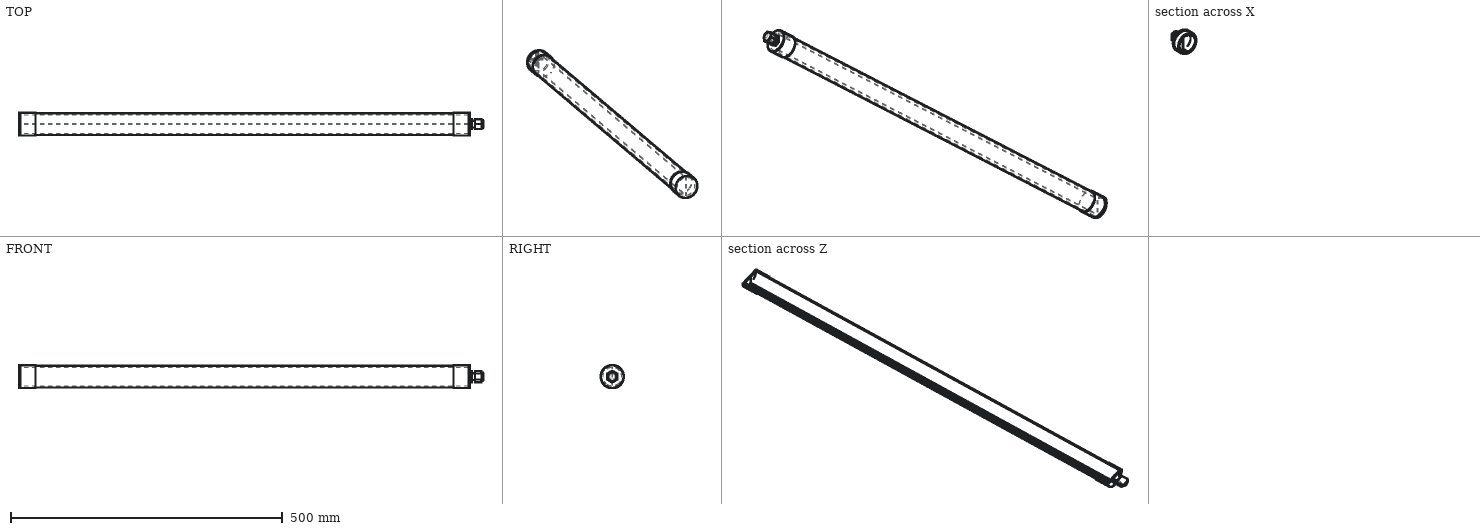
import cadquery as cq

TOTAL_LENGTH = 855.0

CAP_DIAMETER = 43.0
CAP_LENGTH = 30.0
CAP_WALL = 3.0
RIGHT_CAP_END = 830.0
RIGHT_CAP_START = RIGHT_CAP_END - CAP_LENGTH

TUBE_DIAMETER = 40.0
TUBE_BORE = 34.0
TUBE_START = CAP_WALL
TUBE_END = RIGHT_CAP_END - CAP_WALL

STRIP_THICKNESS = 2.0
STRIP_WIDTH = (TUBE_BORE**2 - STRIP_THICKNESS**2) ** 0.5

HEX_ACROSS_CORNERS = 21.0
FLANGE_THICKNESS = 4.0
FLANGE_END = RIGHT_CAP_END + FLANGE_THICKNESS
NECK_DIAMETER = 13.0
NECK_LENGTH = 4.7
NUT_START = FLANGE_END + NECK_LENGTH
NUT_HEX_LENGTH = 12.0
NUT_HEX_END = NUT_START + NUT_HEX_LENGTH
NOSE_DIAMETER = 16.0
NOSE_ROUNDING = 3.0


def section_at(x):
    """Sketch plane across the lamp at x, facing +X, with local axes along Y and Z."""
    return cq.Workplane("YZ", origin=(x, 0, 0))


def rod(diameter, start, end):
    """Round bar along X."""
    return section_at(start).circle(diameter / 2).extrude(end - start)


def hexagon(start, end):
    """Hexagonal bar along X with two of its corner edges straight above and below the axis."""
    bar = section_at(start).polygon(6, HEX_ACROSS_CORNERS).extrude(end - start)
    return bar.rotate((0, 0, 0), (1, 0, 0), 90)


def make_cap(start, pocket_start, pocket_end):
    """Cup for one end of the tube; the pocket leaves the end wall on its closed side."""
    cup = rod(CAP_DIAMETER, start, start + CAP_LENGTH)
    return cup.cut(rod(TUBE_DIAMETER, pocket_start, pocket_end))


def make_tube():
    return rod(TUBE_DIAMETER, TUBE_START, TUBE_END).cut(rod(TUBE_BORE, TUBE_START, TUBE_END))


def make_strip():
    """Strip as long as the tube, in the XZ plane."""
    return section_at(TUBE_START).rect(STRIP_THICKNESS, STRIP_WIDTH).extrude(TUBE_END - TUBE_START)


def make_gland_body():
    """Flange against the cap, with a neck that reaches the nut."""
    return hexagon(RIGHT_CAP_END, FLANGE_END).union(rod(NECK_DIAMETER, FLANGE_END, NUT_START))


def make_gland_nut():
    """Hexagonal nut with a rounded nose."""
    nose = rod(NOSE_DIAMETER, NUT_HEX_END, TOTAL_LENGTH).faces(">X").edges().fillet(NOSE_ROUNDING)
    return hexagon(NUT_START, NUT_HEX_END).union(nose)


left_cap = make_cap(0, TUBE_START, CAP_LENGTH)
right_cap = make_cap(RIGHT_CAP_START, RIGHT_CAP_START, TUBE_END)
tube = make_tube()
strip = make_strip()
gland_body = make_gland_body()
gland_nut = make_gland_nut()

result = cq.Compound.makeCompound(
    [
        left_cap.val(),
        right_cap.val(),
        tube.val(),
        strip.val(),
        gland_body.val(),
        gland_nut.val(),
    ]
)